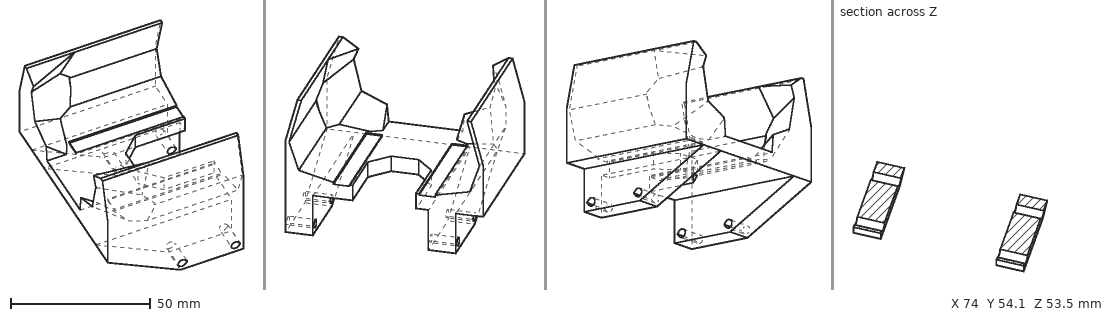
import cadquery as cq
import math

width = 74.0
length = 54.1
wall_height = 37.5
lug_height = 16.0
half_width = width / 2

bend_height = 20.6
lean_inset = 4.5
lean_slope = lean_inset / (wall_height - bend_height)
rim_width = 1.5
rim_inner = half_width - lean_inset - rim_width

floor_height = 6.05
knee_height = 20.2
knee_half_width = rim_inner + lean_slope * (wall_height - knee_height)
shelf_half_width = 32.0
shelf_height = 9.4
floor_half_width = 17.85

groove_inner = 13.0
groove_outer = 19.0
groove_start = 11.2
groove_depth = 0.5

mouth_floor = (13.8, floor_height)
mouth_step = (14.45, 12.75)
mouth_shelf = (24.0, 16.9)
mouth_waist = (26.9, 29.2)
mouth_lip = (25.1, 33.6)
mouth_rim = (rim_inner, wall_height)

step_drift = 0.0
shelf_drift = 1.92
waist_drift = 0.545
lip_drift = 0.39
rim_drift = 0.0
mouth_depth = 19.2

opening_half_width = 11.87
opening_end = 27.2
opening_end_half_width = 5.1
opening_corner = 34.2

lug_width = 10.25
lug_left_edges = (-26.7, half_width - lug_width)
lug_flat_length = 25.2
hole_diameter = 3.1
hole_tip_reach = 2.05
hole_offsets_from_back = (3.35, 24.5)
hole_height = -12.8

clearance = 10.0
cutter_overrun = 1.0


def prism(points, start, end):
    """Extrude an (x, z) outline along Y from start to end."""
    plane = cq.Workplane("XZ", origin=(0, start, 0))
    return plane.polyline(points).close().extrude(start - end)


def mirrored(right_half):
    """Close a right-hand outline with its mirror image across X = 0."""
    return right_half + [(-x, other) for x, other in reversed(right_half)]


def at_height(line, z):
    """Point at height z on a line given as (x, z, slope of x over z)."""
    x_start, z_start, slope = line
    return (x_start + slope * (z - z_start), z)


def meet(first, second):
    """Point where two lines cross."""
    x_first, z_first, slope_first = first
    x_second, z_second, slope_second = second
    offset = x_second - x_first + slope_first * z_first - slope_second * z_second
    return at_height(first, offset / (slope_first - slope_second))


def mouth_section(depth):
    """Mouth outline at a given depth, overrunning the floor and the rim."""
    corners = [mouth_floor, mouth_step, mouth_shelf, mouth_waist, mouth_lip, mouth_rim]
    drifts = [step_drift, shelf_drift, waist_drift, lip_drift, rim_drift]
    lines = []
    for (x_low, z_low), (x_high, z_high), drift in zip(corners, corners[1:], drifts):
        slope = (x_high - x_low) / (z_high - z_low)
        lines.append((x_low + drift * depth, z_low, slope))
    bottom = at_height(lines[0], -clearance)
    inner_corners = [meet(lower, upper) for lower, upper in zip(lines, lines[1:])]
    top = at_height(lines[-1], wall_height + clearance)
    return mirrored([bottom] + inner_corners + [top])


def make_body():
    outline = mirrored([
        (half_width, 0),
        (half_width, bend_height),
        (half_width - lean_inset, wall_height),
    ])
    return prism(outline, 0, length)


def make_channel(start, end):
    outline = mirrored([
        (floor_half_width, floor_height),
        (shelf_half_width, shelf_height),
        (knee_half_width, knee_height),
        (rim_inner, wall_height),
        (rim_inner, wall_height + clearance),
    ])
    return prism(outline, start, end)


def make_mouth():
    front = cq.Workplane("XZ").polyline(mouth_section(0)).close()
    back = front.workplane(offset=-mouth_depth).polyline(mouth_section(mouth_depth)).close()
    return back.loft(ruled=True)


def make_cavity():
    """Channel narrowed to the flaring mouth near the front."""
    narrowed = make_channel(0, mouth_depth).intersect(make_mouth())
    return narrowed.union(make_channel(mouth_depth, length))


def make_groove(side):
    groove_width = groove_outer - groove_inner
    groove = cq.Workplane("XY").box(
        groove_width, length - groove_start, groove_depth + cutter_overrun, centered=(True, False, False)
    )
    middle = side * (groove_inner + groove_outer) / 2
    return groove.translate((middle, groove_start, floor_height - groove_depth))


def make_opening():
    outline = mirrored([
        (opening_half_width, length),
        (opening_half_width, opening_corner),
        (opening_end_half_width, opening_end),
    ])
    return cq.Workplane("XY").polyline(outline).close().extrude(floor_height + cutter_overrun)


def make_lug(left_edge):
    outline = [(0, 0), (length, 0), (length, -lug_height), (length - lug_flat_length, -lug_height)]
    plane = cq.Workplane("YZ", origin=(left_edge, 0, 0))
    return plane.polyline(outline).close().extrude(lug_width)


def make_hole(offset_from_back):
    radius = hole_diameter / 2
    tangent_angle = math.acos(radius / hole_tip_reach)
    tangent_y = radius * math.cos(tangent_angle)
    tangent_z = radius * math.sin(tangent_angle)
    plane = cq.Workplane("YZ", origin=(-half_width, length - offset_from_back, hole_height))
    teardrop = (
        plane.moveTo(hole_tip_reach, 0)
        .lineTo(tangent_y, tangent_z)
        .threePointArc((-radius, 0), (tangent_y, -tangent_z))
        .close()
    )
    return teardrop.extrude(width)


result = make_body().cut(make_cavity())
for side in (-1, 1):
    result = result.cut(make_groove(side))
result = result.cut(make_opening())
for left_edge in lug_left_edges:
    result = result.union(make_lug(left_edge))
for offset in hole_offsets_from_back:
    result = result.cut(make_hole(offset))